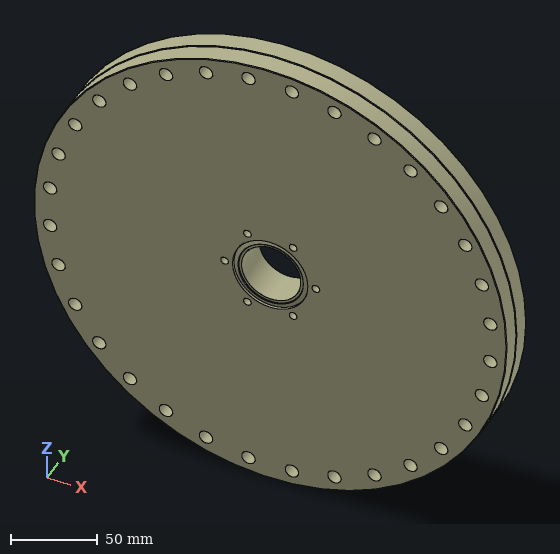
import cadquery as cq
import math

disc_diameter = 304.0
disc_thickness = 25.8
rim_chamfer = 0.5
rim_groove_depth = 0.5

rim_bolt_count = 32
rim_bolt_circle = 284.2
rim_bolt_diameter = 8.5

bore_diameter = 38.0
port_recess_diameter = 48.3
port_recess_depth = 1.8
ridge_tip_diameter = 42.0
ridge_height = 1.2
ridge_inner_diameter = 41.3
inner_floor_depth = 1.2

port_bolt_count = 6
port_bolt_circle = 58.7
port_bolt_diameter = 5.0
port_bolt_depth = 13.7
drill_tip_angle = 118.0

rear_recess_diameter = 273.0
rear_recess_depth = 1.2

disc_radius = disc_diameter / 2
front_y = -disc_thickness / 2
rear_y = disc_thickness / 2


def revolve_about_y(profile):
    """Turn a closed outline of (radius, y) points once around the Y axis."""
    return cq.Workplane("XY").polyline(profile).close().revolve(360, (0, 0, 0), (0, 1, 0))


def make_disc():
    """Disc with chamfered rims, a V groove at mid thickness, the front port and the rear recess."""
    bore_radius = bore_diameter / 2
    port_recess_radius = port_recess_diameter / 2
    rear_recess_radius = rear_recess_diameter / 2
    port_floor_y = front_y + port_recess_depth
    ridge_tip_y = port_floor_y - ridge_height
    inner_floor_y = front_y + inner_floor_depth
    rear_floor_y = rear_y - rear_recess_depth
    return revolve_about_y([
        (bore_radius, inner_floor_y),
        (ridge_inner_diameter / 2, inner_floor_y),
        (ridge_tip_diameter / 2, ridge_tip_y),
        (port_recess_radius, port_floor_y),
        (port_recess_radius, front_y),
        (disc_radius - rim_chamfer, front_y),
        (disc_radius, front_y + rim_chamfer),
        (disc_radius, -rim_groove_depth),
        (disc_radius - rim_groove_depth, 0),
        (disc_radius, rim_groove_depth),
        (disc_radius, rear_y - rim_chamfer),
        (disc_radius - rim_chamfer, rear_y),
        (rear_recess_radius, rear_y),
        (rear_recess_radius, rear_floor_y),
        (bore_radius, rear_floor_y),
    ])


def make_through_hole(diameter):
    """Cylinder on the Y axis that spans the full disc thickness."""
    return cq.Workplane("XZ", origin=(0, rear_y, 0)).circle(diameter / 2).extrude(disc_thickness)


def make_blind_hole(diameter, depth):
    """Drill shape on the Y axis that enters the front face and ends in a conical tip."""
    radius = diameter / 2
    tip_length = radius / math.tan(math.radians(drill_tip_angle / 2))
    return revolve_about_y([
        (0, front_y),
        (radius, front_y),
        (radius, front_y + depth),
        (0, front_y + depth + tip_length),
    ])


def cut_hole_ring(body, hole, count, circle_diameter, first_angle):
    """Cut copies of a hole evenly spaced on a circle about the Y axis."""
    first_hole = hole.translate((circle_diameter / 2, 0, 0))
    for index in range(count):
        angle = first_angle + index * 360 / count
        body = body.cut(first_hole.rotate((0, 0, 0), (0, 1, 0), angle))
    return body


rim_bolt_hole = make_through_hole(rim_bolt_diameter)
port_bolt_hole = make_blind_hole(port_bolt_diameter, port_bolt_depth)
half_rim_pitch = 180 / rim_bolt_count

result = make_disc()
result = cut_hole_ring(result, rim_bolt_hole, rim_bolt_count, rim_bolt_circle, half_rim_pitch)
result = cut_hole_ring(result, port_bolt_hole, port_bolt_count, port_bolt_circle, 0)